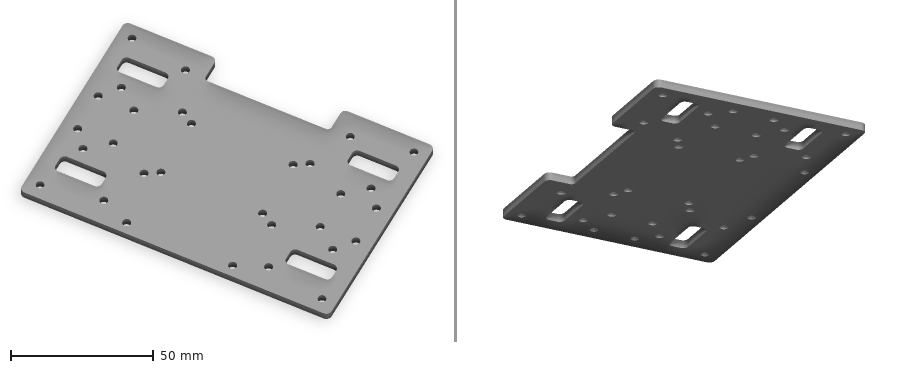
import cadquery as cq

length = 122.0
width = 83.0
thickness = 3.0
corner_radius = 2.1

notch_width = 49.5
notch_depth = 10.4
notch_root_radius = 1.5

slot_length = 18.2
slot_width = 7.1
slot_radius = 2.0
slot_x = 45.4
slot_y = 24.3

corner_hole_diameter = 3.0
mounting_hole_diameter = 3.2
corner_hole = (55.5, 36.0)
mounting_holes = [
    (32.5, 32.0),
    (49.2, 15.0),
    (25.1, 15.0),
    (20.0, 12.0),
    (54.8, 8.0),
    (40.7, 8.0),
]
edge_hole_x = 20.9
edge_hole_y = -37.1


def mirrored(x, y):
    """Positions of a point mirrored into all four quadrants."""
    return [(sx * x, sy * y) for sx in (-1, 1) for sy in (-1, 1)]


def make_plate():
    """Plate with a notch and rounded vertical edges."""
    notch_floor_y = width / 2 - notch_depth
    plate = (
        cq.Workplane("XY")
        .moveTo(-length / 2, -width / 2)
        .lineTo(length / 2, -width / 2)
        .lineTo(length / 2, width / 2)
        .lineTo(notch_width / 2, width / 2)
        .lineTo(notch_width / 2, notch_floor_y)
        .lineTo(-notch_width / 2, notch_floor_y)
        .lineTo(-notch_width / 2, width / 2)
        .lineTo(-length / 2, width / 2)
        .close()
        .extrude(thickness)
    )
    notch_root = cq.selectors.BoxSelector(
        (-notch_width, notch_floor_y - notch_depth / 2, -thickness),
        (notch_width, notch_floor_y + notch_depth / 2, 2 * thickness),
        boundingbox=True,
    )
    plate = plate.edges("|Z").edges(notch_root).fillet(notch_root_radius)
    for outer_edges in ("<Y", ">Y"):
        plate = plate.faces(outer_edges).edges("|Z").fillet(corner_radius)
    return plate


def make_slots():
    """Cutters for the four slots."""
    return (
        cq.Workplane("XY")
        .pushPoints(mirrored(slot_x, slot_y))
        .rect(slot_length, slot_width)
        .extrude(thickness)
        .edges("|Z")
        .fillet(slot_radius)
    )


def make_holes(positions, diameter):
    """Cutters for round through holes."""
    return cq.Workplane("XY").pushPoints(positions).circle(diameter / 2).extrude(thickness)


mounting_positions = [(-edge_hole_x, edge_hole_y), (edge_hole_x, edge_hole_y)]
for hole_x, hole_y in mounting_holes:
    mounting_positions += mirrored(hole_x, hole_y)

result = (
    make_plate()
    .cut(make_slots())
    .cut(make_holes(mirrored(*corner_hole), corner_hole_diameter))
    .cut(make_holes(mounting_positions, mounting_hole_diameter))
)